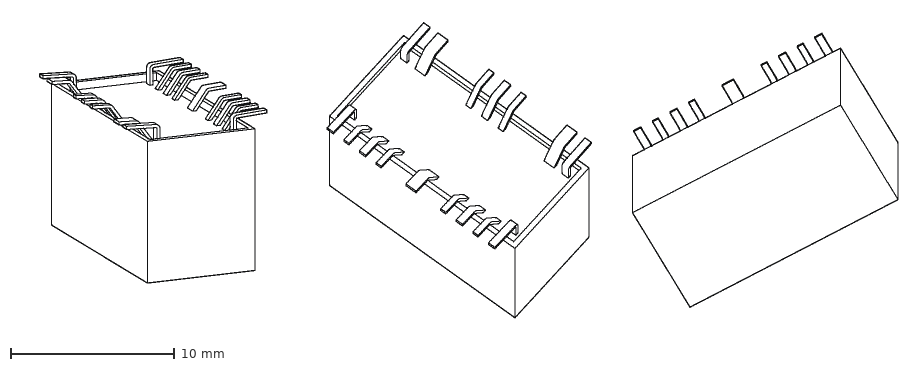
import cadquery as cq
import math

CASE_X = 14.6
CASE_Y = 7.2
CASE_Z = 9.0
END_WALL = 0.36
SIDE_WALL = 0.32
RECESS_DEPTH = 0.5
FLOOR_Z = CASE_Z - RECESS_DEPTH

LEAD_THICKNESS = 0.2
LEAD_TOP_Z = 9.9
TIP_Y = 4.7
FOOT_Y = 2.45
ARM_TILT = 3.0
UPRIGHT_ANGLE = 90.0
SLOPED_ANGLE = 53.7
BEND_RADIUS = 0.3

PITCH = 1.27
CORNER_STEP = 5
CORNER_WIDTH = 0.5

REAR_SLOPED = [(-4, 0.4), (-3, 0.5), (-2, 0.4), (0, 0.8), (2, 0.4), (3, 0.5), (4, 0.4)]
FRONT_SLOPED = [(-4, 0.8), (-1, 0.4), (0, 0.5), (1, 0.4), (4, 0.8)]


def polar(origin, distance, angle):
    """Point at a distance from origin, in the direction of angle (degrees)."""
    direction = math.radians(angle)
    return (origin[0] + distance * math.cos(direction), origin[1] + distance * math.sin(direction))


def make_case():
    case = cq.Workplane("XY").box(CASE_X, CASE_Y, CASE_Z, centered=(True, True, False))
    recess = (
        cq.Workplane("XY")
        .workplane(offset=FLOOR_Z)
        .rect(CASE_X - 2 * END_WALL, CASE_Y - 2 * SIDE_WALL)
        .extrude(RECESS_DEPTH)
    )
    return case.cut(recess)


def make_lead(x, width, leg_angle):
    """Lead on the +Y side: a leg at leg_angle to the floor, a bend, and an arm out to the tip."""
    foot_inner = (FOOT_Y, FLOOR_Z)
    foot_outer = (FOOT_Y + LEAD_THICKNESS / math.sin(math.radians(leg_angle)), FLOOR_Z)
    tip_top = (TIP_Y - LEAD_THICKNESS * math.sin(math.radians(ARM_TILT)), LEAD_TOP_Z)
    tip_bottom = polar(tip_top, LEAD_THICKNESS, ARM_TILT - 90)

    turn = leg_angle - ARM_TILT
    tilt = math.radians(ARM_TILT)
    rise_y = tip_top[0] - foot_inner[0]
    rise_z = tip_top[1] - foot_inner[1]
    leg_length = (rise_z * math.cos(tilt) - rise_y * math.sin(tilt)) / math.sin(math.radians(turn))
    corner = polar(foot_inner, leg_length, leg_angle)

    leg_normal = leg_angle + 90
    arm_normal = ARM_TILT + 90
    middle_normal = (leg_normal + arm_normal) / 2
    centre = polar(corner, -BEND_RADIUS / math.cos(math.radians(turn / 2)), middle_normal)
    inner_radius = BEND_RADIUS - LEAD_THICKNESS

    return (
        cq.Workplane("YZ")
        .workplane(offset=x - width / 2)
        .moveTo(*foot_inner)
        .lineTo(*polar(centre, BEND_RADIUS, leg_normal))
        .threePointArc(polar(centre, BEND_RADIUS, middle_normal), polar(centre, BEND_RADIUS, arm_normal))
        .lineTo(*tip_top)
        .lineTo(*tip_bottom)
        .lineTo(*polar(centre, inner_radius, arm_normal))
        .threePointArc(polar(centre, inner_radius, middle_normal), polar(centre, inner_radius, leg_normal))
        .lineTo(*foot_outer)
        .close()
        .extrude(width)
    )


def make_lead_row(sloped_leads):
    """All leads of one side, placed on the +Y side: sloped leads between two upright corner leads."""
    leads = []
    for step in (-CORNER_STEP, CORNER_STEP):
        leads.append(make_lead(step * PITCH, CORNER_WIDTH, UPRIGHT_ANGLE))
    for step, width in sloped_leads:
        leads.append(make_lead(step * PITCH, width, SLOPED_ANGLE))
    return leads


result = make_case()
for rear_lead in make_lead_row(REAR_SLOPED):
    result = result.union(rear_lead)
for front_lead in make_lead_row(FRONT_SLOPED):
    result = result.union(front_lead.mirror("XZ"))